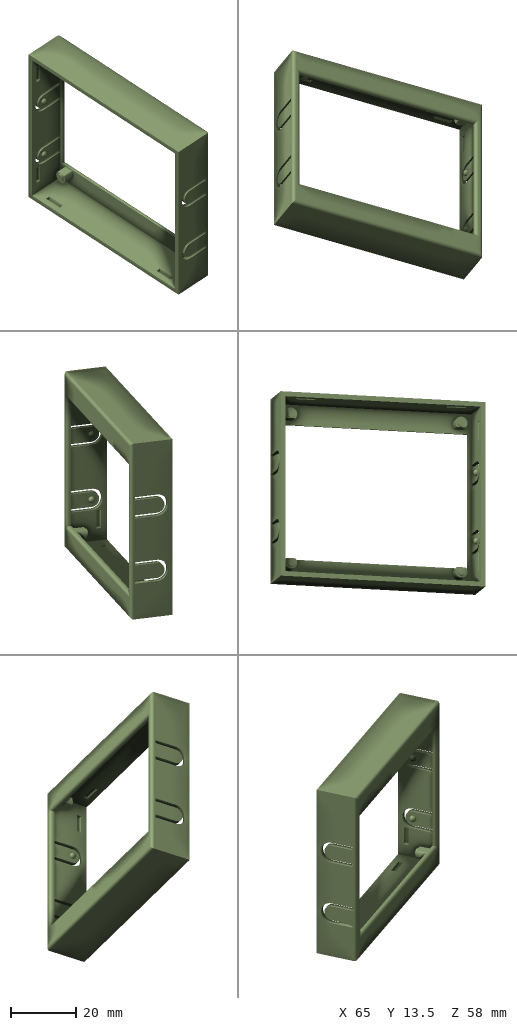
import cadquery as cq

width = 65.0
depth = 13.5
height = 58.0
wall = 1.5
back_edge_radius = 1.0

window_side_margin = 2.6
window_end_margin = 7.85

post_side_offset = 5.45
post_bottom_offset = 6.2
post_top_offset = 5.1
post_radius = 1.95
post_flat_offset = 1.35
post_front_y = 8.45
tip_radius = 1.25
tip_length = 0.5

tab_heights = (15.3, 36.8)
tab_radius = 2.5
tab_gap = 1.05
tab_center_y = 5.0
bump_radius = 1.05

groove_length = 6.0
groove_width = 1.5
groove_depth = 0.7
groove_taper = 20
groove_center_y = 2.7
groove_corner_offset = 5.5

back_inner_y = depth - wall


def block(x_range, y_range, z_range):
    """Box spanning the given (low, high) ranges."""
    spans = (x_range, y_range, z_range)
    sizes = [high - low for low, high in spans]
    corner = tuple(low for low, high in spans)
    return cq.Workplane("XY").box(*sizes, centered=False).translate(corner)


def rod(x, z, radius, y_front, y_back):
    """Cylinder along Y."""
    plane = cq.Workplane("XZ", origin=(x, y_back, z))
    return plane.circle(radius).extrude(y_back - y_front)


def make_frame():
    """Open box with a window; the outer and window edges of the back face are rounded."""
    body = block((0, width), (0, depth), (0, height))
    cavity = block((wall, width - wall), (0, back_inner_y), (wall, height - wall))
    window = block(
        (window_side_margin, width - window_side_margin),
        (0, depth),
        (window_end_margin, height - window_end_margin),
    )
    body = body.cut(window)
    body = body.faces(">Y").edges().fillet(back_edge_radius)
    return body.cut(cavity)


def make_post(x, z, toward_window):
    """Post with a flat on its window side; toward_window is +1 (up) or -1 (down)."""
    post = rod(x, z, post_radius, post_front_y, back_inner_y)
    flat_z = z + toward_window * post_flat_offset
    far_z = z + toward_window * 2 * post_radius
    beyond_flat = block(
        (x - post_radius, x + post_radius),
        (post_front_y, back_inner_y),
        (min(flat_z, far_z), max(flat_z, far_z)),
    )
    tip = rod(x, z, tip_radius, post_front_y - tip_length, post_front_y)
    return post.cut(beyond_flat).union(tip)


def tab_outline(radius, z):
    """Strip through the full width with a round front end and a square back end."""
    strip = block((0, width), (tab_center_y, back_inner_y), (z - radius, z + radius))
    round_end = cq.Workplane("YZ", origin=(0, tab_center_y, z)).circle(radius).extrude(width)
    return strip.union(round_end)


def make_groove(center, along, outward):
    """Pocket with sloped sides, narrowing in the outward direction."""
    plane = cq.Plane(origin=center, xDir=along, normal=outward)
    opening = cq.Workplane(plane).rect(groove_length, groove_width)
    return opening.extrude(groove_depth, taper=groove_taper)


def make_all_grooves():
    """Two grooves in each of the four walls, one near each corner."""
    near = groove_corner_offset + groove_length / 2
    grooves = []
    for x in (near, width - near):
        for z, outward in ((wall, -1), (height - wall, 1)):
            grooves.append(make_groove((x, groove_center_y, z), (1, 0, 0), (0, 0, outward)))
    for z in (near, height - near):
        for x, outward in ((wall, -1), (width - wall, 1)):
            grooves.append(make_groove((x, groove_center_y, z), (0, 0, 1), (outward, 0, 0)))
    return grooves


result = make_frame()

for post_x in (post_side_offset, width - post_side_offset):
    result = result.union(make_post(post_x, post_bottom_offset, 1))
    result = result.union(make_post(post_x, height - post_top_offset, -1))

for tab_z in tab_heights:
    gap = tab_outline(tab_radius + tab_gap, tab_z).cut(tab_outline(tab_radius, tab_z))
    result = result.cut(gap)
    for inner_x in (wall, width - wall):
        bump = cq.Workplane("XY").sphere(bump_radius).translate((inner_x, tab_center_y, tab_z))
        result = result.union(bump)

for groove in make_all_grooves():
    result = result.cut(groove)